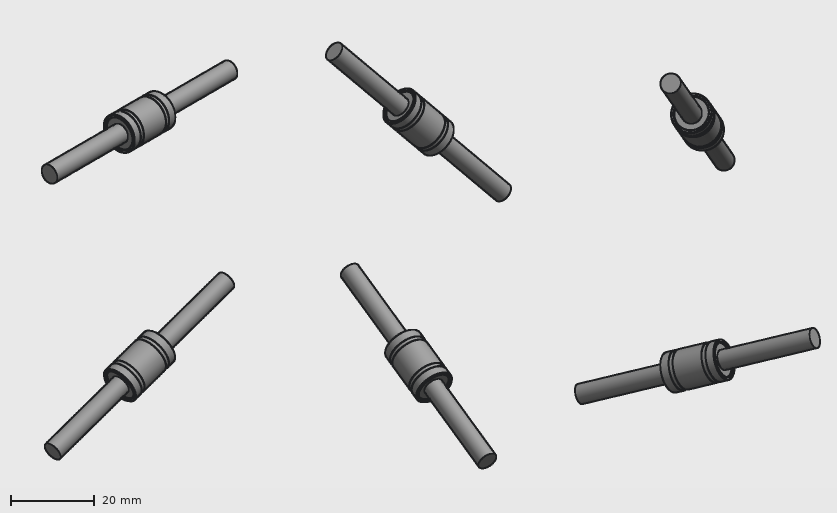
import cadquery as cq

shaft_length = 65.0
shaft_diameter = 5.0

sleeve_length = 15.0
sleeve_diameter = 10.0
edge_chamfer = 0.2

groove_diameter = 9.6
groove_width = 1.1
groove_outer_span = 10.2

recess_diameter = 8.3
recess_depth = 0.5
recess_mouth_chamfer = 0.2


def cylinder_along_y(diameter, length, center_y=0.0):
    """Solid cylinder on the Y axis, centred at center_y."""
    start = cq.Workplane("XZ", origin=(0, center_y + length / 2, 0))
    return start.circle(diameter / 2).extrude(length)


def ring_groove(center_y):
    """Ring of material to remove for one retaining-ring groove."""
    blank = cylinder_along_y(sleeve_diameter, groove_width, center_y)
    return blank.cut(cylinder_along_y(groove_diameter, groove_width, center_y))


sleeve = cylinder_along_y(sleeve_diameter, sleeve_length).edges().chamfer(edge_chamfer)

groove_center = (groove_outer_span - groove_width) / 2
recess_center = (sleeve_length - recess_depth) / 2
for side in (-1, 1):
    sleeve = sleeve.cut(ring_groove(side * groove_center))
    sleeve = sleeve.cut(cylinder_along_y(recess_diameter, recess_depth, side * recess_center))

mouth_edges = cq.selectors.RadiusNthSelector(0)
sleeve = sleeve.faces("<Y or >Y").edges(mouth_edges).chamfer(recess_mouth_chamfer)

result = sleeve.union(cylinder_along_y(shaft_diameter, shaft_length))